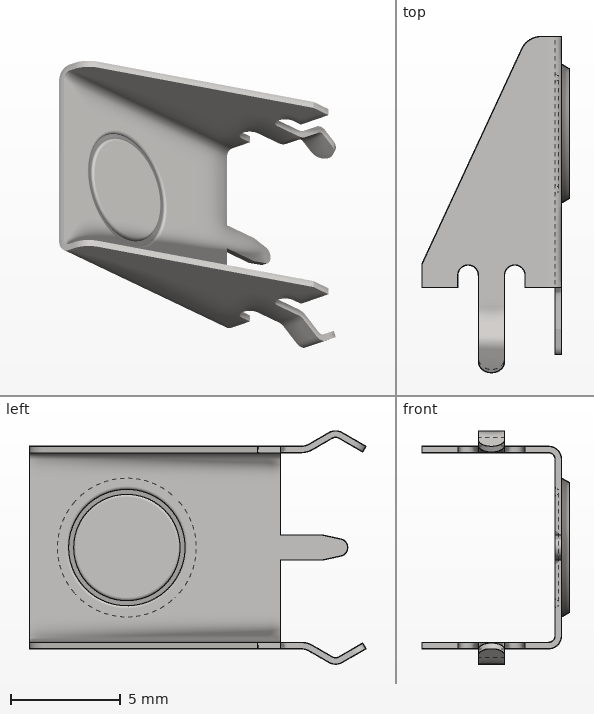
import cadquery as cq
import math

sheet = 0.3
bend_inner_radius = 0.3
bend_outer_radius = bend_inner_radius + sheet
body_width = 6.36
body_length = 11.43
body_height = 9.22
half_height = body_height / 2

flange_tail = 1.06
flange_top = 1.55
flange_corner_radius = 1.0

tab_center_x = -3.19
tab_width = 1.2
slot_width = 0.925
slot_depth = 1.02
tab_angle = math.radians(30)
tab_bend_start = 1.12
tab_peak = 2.495
tab_tip = 3.88
tab_bend_radius = 0.75

pin_half_width = 0.575
pin_straight = 1.9
pin_length = 3.05
pin_tip_radius = 0.4
pin_taper = math.radians(12.4)

boss_center_y = 7.0
boss_height = 0.37
boss_base_radius = 3.16
boss_side_angle = math.radians(30)
boss_edge_radius = 0.06

groove_outer_radius = 2.65
groove_inner_radius = 2.42
groove_depth = 0.15
groove_edge_radius = 0.135


def make_channel():
    """U-shaped channel with rounded bends, open towards -X."""
    outer = (
        cq.Workplane("XY")
        .box(body_width, body_length, body_height, centered=(False, False, True))
        .translate((-body_width, 0, 0))
        .edges("|Y and >X")
        .fillet(bend_outer_radius)
    )
    inner = (
        cq.Workplane("XY")
        .box(body_width, body_length, body_height - 2 * sheet, centered=(False, False, True))
        .translate((-body_width - sheet, 0, 0))
        .edges("|Y and >X")
        .fillet(bend_inner_radius)
    )
    return outer.cut(inner)


def make_flange_outline():
    """Side outline that trims the channel flanges to triangles."""
    return (
        cq.Workplane("XY")
        .moveTo(0, 0)
        .lineTo(-body_width, 0)
        .lineTo(-body_width, flange_tail)
        .lineTo(-flange_top, body_length)
        .lineTo(0, body_length)
        .close()
        .extrude(half_height, both=True)
        .edges(cq.selectors.NearestToPointSelector((-flange_top, body_length, 0)))
        .fillet(flange_corner_radius)
    )


def make_relief_slots():
    """Round-ended slots on both sides of the tabs, through both flanges."""
    offset = (tab_width + slot_width) / 2
    return (
        cq.Workplane("XY")
        .pushPoints([(tab_center_x - offset, 0), (tab_center_x + offset, 0)])
        .slot2D(2 * slot_depth, slot_width, 90)
        .extrude(half_height, both=True)
    )


def make_spring_tab():
    """Bent tab of the upper flange with a full-round tip."""
    slope = math.tan(tab_angle)
    tip_radius = tab_width / 2
    peak_z = half_height + (tab_peak - tab_bend_start) * slope
    leg_end = tab_tip - tip_radius * math.cos(tab_angle)
    leg_end_z = peak_z - (leg_end - tab_peak) * slope
    corner_shift = sheet * math.tan(tab_angle / 2)
    step_y = sheet * math.sin(tab_angle)
    step_z = sheet * math.cos(tab_angle)

    strip = (
        cq.Workplane("YZ", origin=(tab_center_x, 0, 0))
        .moveTo(slot_depth, half_height)
        .lineTo(-tab_bend_start, half_height)
        .lineTo(-tab_peak, peak_z)
        .lineTo(-leg_end, leg_end_z)
        .lineTo(-leg_end + step_y, leg_end_z - step_z)
        .lineTo(-tab_peak, peak_z - sheet / math.cos(tab_angle))
        .lineTo(-tab_bend_start - corner_shift, half_height - sheet)
        .lineTo(slot_depth, half_height - sheet)
        .close()
        .extrude(tab_width / 2, both=True)
    )
    corners = (
        (-tab_bend_start, half_height, tab_bend_radius),
        (-tab_bend_start - corner_shift, half_height - sheet, tab_bend_radius + sheet),
        (-tab_peak, peak_z, bend_outer_radius),
        (-tab_peak, peak_z - sheet / math.cos(tab_angle), bend_inner_radius),
    )
    for y, z, radius in corners:
        edge = cq.selectors.NearestToPointSelector((tab_center_x, y, z))
        strip = strip.edges(edge).fillet(radius)

    tip_plane = cq.Plane(
        origin=(tab_center_x, -leg_end, leg_end_z),
        xDir=(1, 0, 0),
        normal=(0, math.sin(tab_angle), -math.cos(tab_angle)),
    )
    tip = cq.Workplane(tip_plane).circle(tip_radius).extrude(sheet)
    return strip.union(tip)


def make_pin():
    """Flat tapered pin with a round tip, in the plane of the back wall."""
    arc_center = pin_length - pin_tip_radius
    arc_start = arc_center + pin_tip_radius * math.sin(pin_taper)
    arc_half_width = pin_tip_radius * math.cos(pin_taper)
    return (
        cq.Workplane("YZ")
        .moveTo(0, pin_half_width)
        .lineTo(-pin_straight, pin_half_width)
        .lineTo(-arc_start, arc_half_width)
        .threePointArc((-pin_length, 0), (-arc_start, -arc_half_width))
        .lineTo(-pin_straight, -pin_half_width)
        .lineTo(0, -pin_half_width)
        .close()
        .extrude(-sheet)
    )


def make_boss():
    """Conical boss with a rounded edge on the outer face of the back wall."""
    top_radius = boss_base_radius - boss_height * math.tan(boss_side_angle)
    return (
        cq.Workplane("XY", origin=(0, boss_center_y, 0))
        .polyline([(0, 0), (0, boss_base_radius), (boss_height, top_radius), (boss_height, 0)])
        .close()
        .revolve(360, (0, 0, 0), (1, 0, 0))
        .faces(">X")
        .edges()
        .fillet(boss_edge_radius)
    )


def make_ring_groove():
    """Ring groove in the inner face of the back wall, with rounded rims."""
    rim = -sheet
    shoulder = rim + groove_edge_radius
    floor = rim + groove_depth
    outer_rim = groove_outer_radius + groove_edge_radius
    inner_rim = groove_inner_radius - groove_edge_radius
    arc_inset = groove_edge_radius * (1 - math.sqrt(0.5))
    return (
        cq.Workplane("XY", origin=(0, boss_center_y, 0))
        .moveTo(rim, inner_rim)
        .threePointArc((rim + arc_inset, groove_inner_radius - arc_inset), (shoulder, groove_inner_radius))
        .lineTo(floor, groove_inner_radius)
        .lineTo(floor, groove_outer_radius)
        .lineTo(shoulder, groove_outer_radius)
        .threePointArc((rim + arc_inset, groove_outer_radius + arc_inset), (rim, outer_rim))
        .close()
        .revolve(360, (0, 0, 0), (1, 0, 0))
    )


upper_tab = make_spring_tab()
lower_tab = upper_tab.mirror("XY")

body = make_channel().intersect(make_flange_outline()).cut(make_relief_slots())
result = body.union(upper_tab).union(lower_tab).union(make_pin()).union(make_boss())
result = result.cut(make_ring_groove())